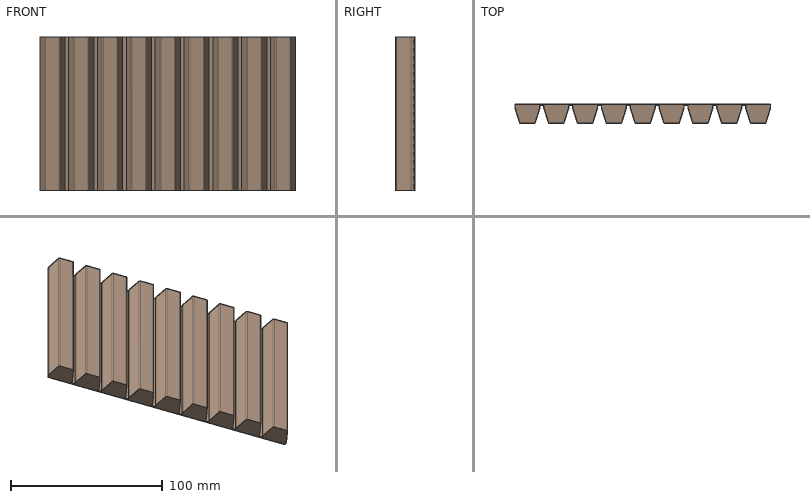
import cadquery as cq
import math

width = 169.2
depth = 12.7
height = 101.7

rib_count = 9
rib_width = 16.5
side_depth = 2.5
flank_angle = 17.5
web_thickness = 1.0
tip_radius = 0.8
back_corner_radius = 0.7

back_y = depth / 2
tip_y = -depth / 2
web_y = back_y - web_thickness
taper_y = back_y - side_depth

rib_span = width - rib_width
pitch = rib_span / (rib_count - 1)
tip_width = rib_width - 2 * (taper_y - tip_y) * math.tan(math.radians(flank_angle))


def rib_outline(center):
    """XY points of one rib, from its left root round the tip to its right root."""
    half_rib = rib_width / 2
    half_tip = tip_width / 2
    return [
        (center - half_rib, web_y),
        (center - half_rib, taper_y),
        (center - half_tip, tip_y),
        (center + half_tip, tip_y),
        (center + half_rib, taper_y),
        (center + half_rib, web_y),
    ]


web = cq.Workplane("XY").box(width, web_thickness, height)
belt = web.translate((0, back_y - web_thickness / 2, 0))

for index in range(rib_count):
    center = index * pitch - rib_span / 2
    rib = cq.Workplane("XY").polyline(rib_outline(center)).close().extrude(height)
    belt = belt.union(rib.translate((0, 0, -height / 2)))
belt = belt.clean()

belt = belt.faces("<Y").edges("|Z").fillet(tip_radius)
result = belt.faces(">Y").edges("|Z").fillet(back_corner_radius)